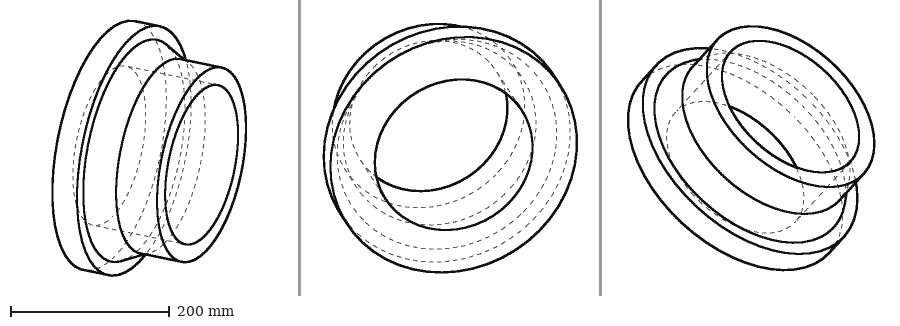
import cadquery as cq

total_length = 130.0
flange_diameter = 320.0
flange_thickness = 35.0
cone_base_diameter = 285.0
cone_end_x = 72.3
pipe_diameter = 250.0
bore_diameter = 204.5

flange_radius = flange_diameter / 2
cone_base_radius = cone_base_diameter / 2
pipe_radius = pipe_diameter / 2
bore_radius = bore_diameter / 2

half_section = (
    cq.Workplane("XY")
    .moveTo(0, bore_radius)
    .lineTo(0, flange_radius)
    .lineTo(flange_thickness, flange_radius)
    .lineTo(flange_thickness, cone_base_radius)
    .lineTo(cone_end_x, pipe_radius)
    .lineTo(total_length, pipe_radius)
    .lineTo(total_length, bore_radius)
    .close()
)

result = half_section.revolve(360, (0, 0, 0), (1, 0, 0))